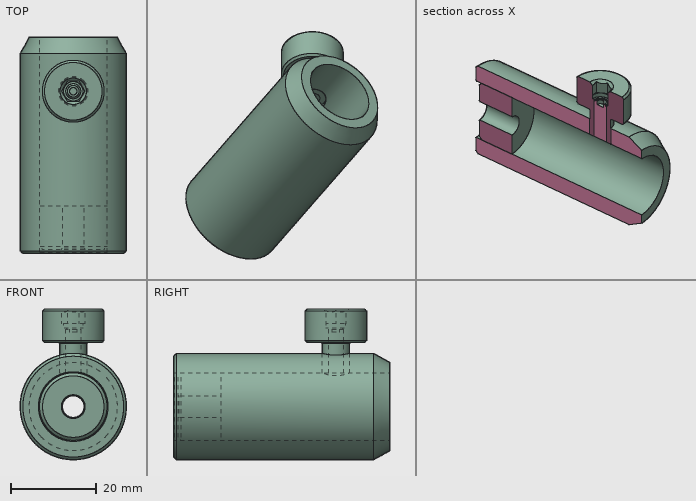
import cadquery as cq
import math

HOUSING_LENGTH = 50.8
HOUSING_RADIUS = 12.5
FRONT_CHAMFER = 0.65
TAPER_LENGTH = 3.85
TAPER_END_RADIUS = 10.35
BORE_RADIUS = 7.9
BORE_CHAMFER = 0.25

PLUG_RECESS = 1.0
PLUG_LENGTH = 10.15
PLUG_CHAMFER = 0.7
PLUG_HOLE_RADIUS = 2.55
PLUG_HOLE_CHAMFER = 0.25

SCREW_Y = 38.1
KNOB_TOP = 22.9
KNOB_HEIGHT = 7.85
KNOB_RADIUS = 7.25
KNOB_CHAMFER = 0.5
NECK_RADIUS = 3.2
NECK_FLARE = 0.25
HEX_ACROSS_FLATS = 4.7
SOCKET_DEPTH = 3.4
RELIEF_RADIUS = 2.3
RELIEF_DEPTH = 1.0
SOCKET_MOUTH_RADIUS = 3.1

PIN_RADIUS = 1.8
PIN_CHAMFER = 0.4
PIN_HOLE_RADIUS = 0.85
PIN_HOLE_DEPTH = 1.0

KNOB_BOTTOM = KNOB_TOP - KNOB_HEIGHT
SOCKET_FLOOR = KNOB_TOP - SOCKET_DEPTH
RELIEF_FLOOR = SOCKET_FLOOR - RELIEF_DEPTH
SCREW_TIP = BORE_RADIUS


def revolve_around_y(outline):
    """Solid of revolution around the Y axis from (radius, Y) points."""
    points = [(y, radius) for radius, y in outline]
    return cq.Workplane("YZ").polyline(points).close().revolve(360, (0, 0, 0), (1, 0, 0))


def cylinder_z(radius, bottom, top):
    """Cylinder around the thumbscrew axis between two heights."""
    return cq.Workplane("XY", origin=(0, SCREW_Y, bottom)).circle(radius).extrude(top - bottom)


def cone_z_down(top_radius, bottom_radius, height, top):
    """Cone around the thumbscrew axis that narrows downwards from Z = top."""
    down = cq.Vector(0, 0, -1)
    cone = cq.Solid.makeCone(top_radius, bottom_radius, height, cq.Vector(0, SCREW_Y, top), down)
    return cq.Workplane(cone)


def make_housing():
    """Tube with a chamfered front, a tapered back and a cross hole for the thumbscrew."""
    outline = [
        (BORE_RADIUS + BORE_CHAMFER, 0),
        (HOUSING_RADIUS - FRONT_CHAMFER, 0),
        (HOUSING_RADIUS, FRONT_CHAMFER),
        (HOUSING_RADIUS, HOUSING_LENGTH - TAPER_LENGTH),
        (TAPER_END_RADIUS, HOUSING_LENGTH),
        (BORE_RADIUS, HOUSING_LENGTH),
        (BORE_RADIUS, BORE_CHAMFER),
    ]
    tube = revolve_around_y(outline)
    return tube.cut(cylinder_z(NECK_RADIUS, 0, HOUSING_RADIUS))


def make_plug():
    """Disc with a chamfered rim and a chamfered through hole, set back inside the bore."""
    plug_back = PLUG_RECESS + PLUG_LENGTH
    outline = [
        (PLUG_HOLE_RADIUS + PLUG_HOLE_CHAMFER, PLUG_RECESS),
        (BORE_RADIUS - PLUG_CHAMFER, PLUG_RECESS),
        (BORE_RADIUS, PLUG_RECESS + PLUG_CHAMFER),
        (BORE_RADIUS, plug_back),
        (PLUG_HOLE_RADIUS, plug_back),
        (PLUG_HOLE_RADIUS, PLUG_RECESS + PLUG_HOLE_CHAMFER),
    ]
    return revolve_around_y(outline)


def make_hex_socket():
    """Hexagonal socket with corners on +X and -X and a 45 degree conical mouth."""
    corner_diameter = HEX_ACROSS_FLATS / math.cos(math.pi / 6)
    top_plane = cq.Workplane("XY", origin=(0, SCREW_Y, KNOB_TOP))
    hexagon = top_plane.polygon(6, corner_diameter).extrude(-SOCKET_DEPTH)
    mouth = cone_z_down(SOCKET_MOUTH_RADIUS, 0, SOCKET_MOUTH_RADIUS, KNOB_TOP)
    return hexagon.union(mouth)


def make_thumbscrew():
    """Knob with chamfered rims, flared neck, hexagonal socket, relief bore and pin hole."""
    knob = cylinder_z(KNOB_RADIUS, KNOB_BOTTOM, KNOB_TOP).faces("<Z or >Z").chamfer(KNOB_CHAMFER)
    neck = cylinder_z(NECK_RADIUS, SCREW_TIP, KNOB_BOTTOM)
    flare = cone_z_down(NECK_RADIUS + NECK_FLARE, NECK_RADIUS, NECK_FLARE, KNOB_BOTTOM)
    screw = knob.union(neck).union(flare).cut(make_hex_socket())
    screw = screw.cut(cylinder_z(RELIEF_RADIUS, RELIEF_FLOOR, SOCKET_FLOOR))
    return screw.cut(cylinder_z(PIN_RADIUS, SCREW_TIP, RELIEF_FLOOR))


def make_pin():
    """Round pin with a chamfered upper end and a small blind hole in it."""
    pin = cylinder_z(PIN_RADIUS, SCREW_TIP, RELIEF_FLOOR).faces(">Z").chamfer(PIN_CHAMFER)
    return pin.cut(cylinder_z(PIN_HOLE_RADIUS, RELIEF_FLOOR - PIN_HOLE_DEPTH, RELIEF_FLOOR))


housing = make_housing()
plug = make_plug()
thumbscrew = make_thumbscrew()
pin = make_pin()

result = cq.Compound.makeCompound([housing.val(), plug.val(), thumbscrew.val(), pin.val()])